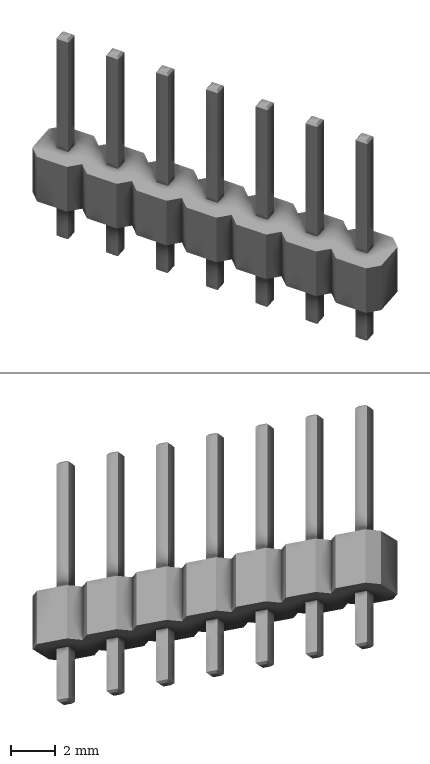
import cadquery as cq

pin_count = 7
total_length = 17.78
pitch = total_length / pin_count

body_height = pitch
corner_cut = pitch / 5

pin_width = 0.6
tip_chamfer = 0.1
pin_below = pitch
pin_above = 2.5 * pitch
pin_length = pin_below + body_height + pin_above

pin_centres = [((i - (pin_count - 1) / 2) * pitch, 0) for i in range(pin_count)]


def make_body():
    """Row of octagonal cells, joined side by side, standing on Z = 0."""
    cell = (
        cq.Workplane("XY")
        .box(pitch, pitch, body_height, centered=(True, True, False))
        .edges("|Z")
        .chamfer(corner_cut)
    )
    body = cq.Workplane("XY")
    for x, y in pin_centres:
        body = body.union(cell.translate((x, y, 0)))
    return body.clean()


def make_pin():
    """Square pin on the Z axis, chamfered around both ends."""
    return (
        cq.Workplane("XY")
        .box(pin_width, pin_width, pin_length, centered=(True, True, False))
        .faces("<Z or >Z")
        .chamfer(tip_chamfer)
        .translate((0, 0, -pin_below))
    )


result = make_body()
pin = make_pin()
for x, y in pin_centres:
    result = result.union(pin.translate((x, y, 0)))